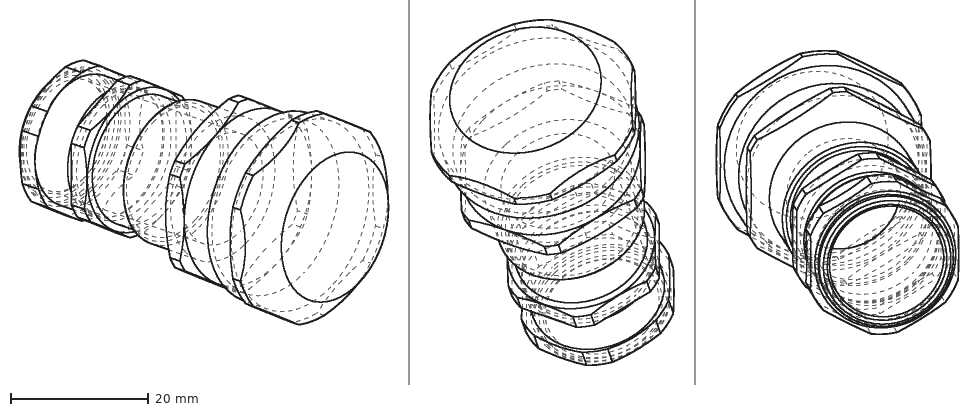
import cadquery as cq
import math


tube_radius = 10.0
tube_chamfer = 0.5
tube_end = 10.8
tube_taper_length = 0.55
tube_taper_depth = 0.3

ring_outer_radius = 10.0
ring_section_radius = 1.2
ring_center = 11.6

bore_radius = 8.5
bore_chamfer = 0.4

neck_radius = 9.9
sleeve_start = 22.0
sleeve_radius = 11.0
sleeve_chamfer = 0.5

barrel_radius = 13.4
collar_start = 42.6
collar_radius = 14.5
collar_edge_radius = 0.4

half_side_angle = math.radians(30)
chamfer_slope = math.tan(math.radians(30))

lock_nut_flats = 22.0
lock_nut_corner_radius = 11.75
lock_nut_face_radius = 10.5
lock_nut_start = 1.3
lock_nut_end = 5.35

stop_nut_flats = 22.0
stop_nut_corner_radius = 12.0
stop_nut_face_radius = 10.96
stop_nut_start = 11.95
stop_nut_end = 15.15

body_hex_flats = 26.8
body_hex_corner_radius = 14.9
body_hex_start = 31.95
body_hex_end = 37.1

cap_flats = 30.0
cap_corner_radius = 16.0
cap_face_radius = 14.5
cap_start = 47.6
cap_end = 54.71
cap_end_radius = 11.3

bore_end = body_hex_start


def revolve_profile(points):
    """Revolve a closed (x, radius) outline about the X axis."""
    return cq.Workplane("XY").polyline(points).close().revolve(360, (0, 0, 0), (1, 0, 0))


def cylinder(start, end, radius):
    return cq.Workplane("YZ").workplane(offset=start).circle(radius).extrude(end - start)


def turned_hexagon(flats, profile):
    """Hexagon with flats facing +/-Y, trimmed by a turned (x, radius) outline."""
    start = min(x for x, radius in profile)
    end = max(x for x, radius in profile)
    corner_diameter = flats / math.cos(half_side_angle)
    prism = (
        cq.Workplane("YZ")
        .workplane(offset=start)
        .transformed(rotate=(0, 0, 90))
        .polygon(6, corner_diameter)
        .extrude(end - start)
    )
    return prism.intersect(revolve_profile(profile))


def make_entry_tube():
    """Tube with a chamfered mouth and a shallow taper next to the sealing ring."""
    profile = [
        (0, 0),
        (0, tube_radius - tube_chamfer),
        (tube_chamfer, tube_radius),
        (tube_end - tube_taper_length, tube_radius),
        (tube_end, tube_radius - tube_taper_depth),
        (tube_end, 0),
    ]
    return revolve_profile(profile)


def make_seal_ring():
    section_center = ring_outer_radius - ring_section_radius
    core = cylinder(tube_end, stop_nut_start, section_center)
    ring = cq.Workplane("XY").center(ring_center, section_center).circle(ring_section_radius)
    ring = ring.revolve(360, (0, -section_center, 0), (1, -section_center, 0))
    return core.union(ring)


def make_lock_nut():
    """Nut chamfered towards the open end and dished at 45 degrees behind."""
    front_chamfer = (lock_nut_corner_radius - lock_nut_face_radius) * chamfer_slope
    dish_depth = lock_nut_corner_radius - tube_radius
    profile = [
        (lock_nut_start, 0),
        (lock_nut_start, lock_nut_face_radius),
        (lock_nut_start + front_chamfer, lock_nut_corner_radius),
        (lock_nut_end, lock_nut_corner_radius),
        (lock_nut_end - dish_depth, tube_radius),
        (lock_nut_end - dish_depth, 0),
    ]
    return turned_hexagon(lock_nut_flats, profile)


def make_stop_nut():
    back_chamfer = (stop_nut_corner_radius - stop_nut_face_radius) * chamfer_slope
    profile = [
        (stop_nut_start, 0),
        (stop_nut_start, stop_nut_corner_radius),
        (stop_nut_end - back_chamfer, stop_nut_corner_radius),
        (stop_nut_end, stop_nut_face_radius),
        (stop_nut_end, 0),
    ]
    return turned_hexagon(stop_nut_flats, profile)


def make_sleeve():
    neck = cylinder(stop_nut_end, sleeve_start, neck_radius)
    sleeve = cylinder(sleeve_start, body_hex_start, sleeve_radius)
    sleeve = sleeve.faces("<X").chamfer(sleeve_chamfer)
    return neck.union(sleeve)


def make_body_hex():
    front_chamfer = (body_hex_corner_radius - sleeve_radius) * chamfer_slope
    back_chamfer = (body_hex_corner_radius - barrel_radius) * chamfer_slope
    profile = [
        (body_hex_start, 0),
        (body_hex_start, sleeve_radius),
        (body_hex_start + front_chamfer, body_hex_corner_radius),
        (body_hex_end - back_chamfer, body_hex_corner_radius),
        (body_hex_end, barrel_radius),
        (body_hex_end, 0),
    ]
    return turned_hexagon(body_hex_flats, profile)


def make_barrel():
    barrel = cylinder(body_hex_end, collar_start, barrel_radius)
    collar = cylinder(collar_start, cap_start, collar_radius)
    collar = collar.faces("<X").edges().fillet(collar_edge_radius)
    return barrel.union(collar)


def make_cap():
    """Hexagonal cap that tapers at 45 degrees to its closed end."""
    front_chamfer = (cap_corner_radius - cap_face_radius) * chamfer_slope
    taper_length = cap_corner_radius - cap_end_radius
    profile = [
        (cap_start, 0),
        (cap_start, cap_face_radius),
        (cap_start + front_chamfer, cap_corner_radius),
        (cap_end - taper_length, cap_corner_radius),
        (cap_end, cap_end_radius),
        (cap_end, 0),
    ]
    return turned_hexagon(cap_flats, profile)


def make_bore():
    """Blind bore with a chamfered mouth."""
    profile = [
        (0, 0),
        (0, bore_radius + bore_chamfer),
        (bore_chamfer, bore_radius),
        (bore_end, bore_radius),
        (bore_end, 0),
    ]
    return revolve_profile(profile)


result = (
    make_entry_tube()
    .union(make_seal_ring())
    .union(make_lock_nut())
    .union(make_stop_nut())
    .union(make_sleeve())
    .union(make_body_hex())
    .union(make_barrel())
    .union(make_cap())
    .cut(make_bore())
)